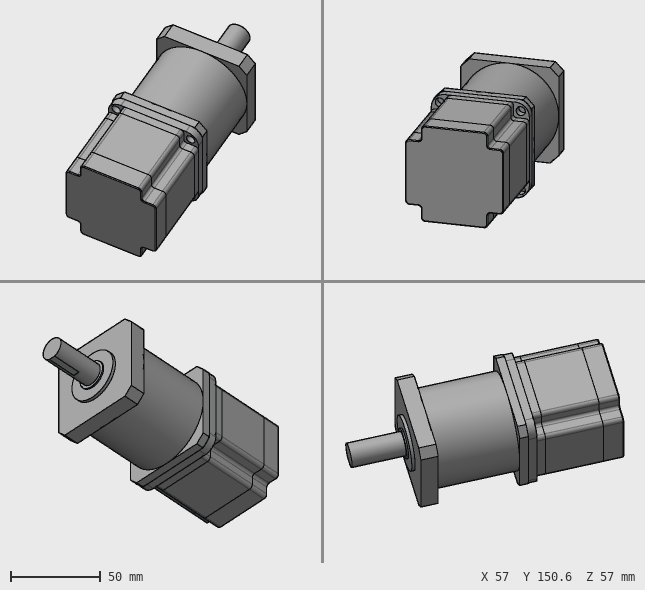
import cadquery as cq

section = 57.0

rear_face = 0.0
stator_rear = 11.9
stator_front = 45.0
motor_plate_rear = 50.0
adapter_rear = 55.0
gear_case_rear = 60.0
front_flange_rear = 106.8
front_flange_face = 116.8
pilot_face = 118.7
collar_face = 119.6
shaft_tip = 150.6

flange_corner_chamfer = 5.0
pilot_diameter = 32.1
collar_diameter = 17.6
shaft_diameter = 14.0
shaft_flat_length = 19.1
shaft_flat_depth = 0.3

motor_plate_corner_radius = 8.0
mounting_hole_spacing = 47.0
mounting_hole_diameter = 5.3
notch_size = 9.2
notch_outer_radius = 2.3
notch_inner_radius = 1.8
rear_edge_chamfer = 0.53


def section_plane(y):
    """Workplane across the drive at station y: normal +Y, local x along Z, local y along X."""
    return cq.Workplane(cq.Plane(origin=(0, y, 0), xDir=(0, 0, 1), normal=(0, 1, 0)))


def disc(diameter, rear, front):
    """Round disc on the drive axis between two stations."""
    return section_plane(rear).circle(diameter / 2).extrude(front - rear)


def square_block(rear, front):
    """Square block of the full section between two stations."""
    return section_plane(rear).rect(section, section).extrude(front - rear)


def chamfered_plate(rear, front):
    """Square plate with its four corners cut off."""
    return square_block(rear, front).edges("|Y").chamfer(flange_corner_chamfer)


def notched_block(rear, front):
    """Square block with a rounded notch along each of its four corners."""
    outer = section / 2
    inner = outer - notch_size
    sides = (
        section_plane(rear)
        .moveTo(-inner, outer)
        .lineTo(inner, outer)
        .lineTo(inner, inner)
        .lineTo(outer, inner)
        .lineTo(outer, -inner)
        .lineTo(inner, -inner)
        .lineTo(inner, -outer)
        .lineTo(-inner, -outer)
        .lineTo(-inner, -inner)
        .lineTo(-outer, -inner)
        .lineTo(-outer, inner)
        .lineTo(-inner, inner)
        .close()
    )
    block = sides.extrude(front - rear)
    reach = inner + notch_size / 2
    central_box = cq.selectors.BoxSelector((-reach, rear, -reach), (reach, front, reach))
    lengthwise = cq.selectors.ParallelDirSelector(cq.Vector(0, 1, 0))
    block = block.edges(lengthwise - central_box).fillet(notch_outer_radius)
    return block.edges(lengthwise & central_box).fillet(notch_inner_radius)


def make_shaft():
    """Output shaft with a shoulder collar and a flat along the underside of its tip."""
    shaft = disc(collar_diameter, pilot_face, collar_face)
    shaft = shaft.union(disc(shaft_diameter, collar_face, shaft_tip))
    flat_height = shaft_diameter / 2 - shaft_flat_depth
    below_flat = (
        section_plane(shaft_tip - shaft_flat_length)
        .center(-flat_height - shaft_diameter / 2, 0)
        .rect(shaft_diameter, shaft_diameter)
        .extrude(shaft_flat_length)
    )
    return shaft.cut(below_flat)


def make_front_flange():
    """Gearbox mounting flange with its round pilot."""
    return chamfered_plate(front_flange_rear, front_flange_face).union(
        disc(pilot_diameter, front_flange_face, pilot_face)
    )


def make_motor_plate():
    """Motor plate with rounded corners and four mounting holes."""
    holes = (
        section_plane(motor_plate_rear)
        .rect(mounting_hole_spacing, mounting_hole_spacing, forConstruction=True)
        .vertices()
        .circle(mounting_hole_diameter / 2)
        .extrude(adapter_rear - motor_plate_rear)
    )
    plate = square_block(motor_plate_rear, adapter_rear)
    return plate.edges("|Y").fillet(motor_plate_corner_radius).cut(holes)


def make_rear_cap():
    """Rear end cap of the motor, chamfered around its outer face."""
    return notched_block(rear_face, stator_rear).faces("<Y").edges().chamfer(rear_edge_chamfer)


shaft = make_shaft()
front_flange = make_front_flange()
gear_case = disc(section, gear_case_rear, front_flange_rear)
adapter = chamfered_plate(adapter_rear, gear_case_rear)
motor_plate = make_motor_plate()
front_cap = notched_block(stator_front, motor_plate_rear)
stator = notched_block(stator_rear, stator_front)
rear_cap = make_rear_cap()

result = cq.Compound.makeCompound([
    shaft.val(),
    front_flange.val(),
    gear_case.val(),
    adapter.val(),
    motor_plate.val(),
    front_cap.val(),
    stator.val(),
    rear_cap.val(),
])